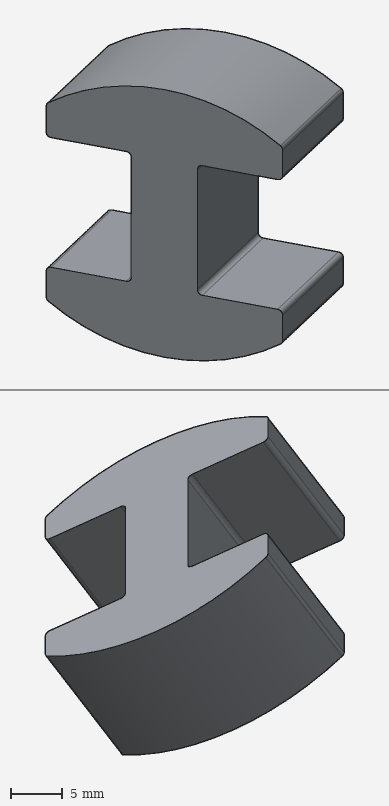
import cadquery as cq

width = 25.0
depth = 14.5
height = 28.5
web_width = 7.0
slot_height = 13.8
crown_radius = 22.25
edge_radius = 0.5


def crown_cylinder(direction):
    """Cylinder along Y whose crown touches the top (+1) or bottom (-1) of the part."""
    center_z = direction * (height / 2 - crown_radius)
    return (
        cq.Workplane("XZ", origin=(0, depth / 2, center_z))
        .circle(crown_radius)
        .extrude(depth)
    )


def side_slot(side):
    """Rectangular slot open to the right (+1) or left (-1) of the central web."""
    slot_depth = (width - web_width) / 2
    center_x = side * (web_width + slot_depth) / 2
    return cq.Workplane("XY").box(slot_depth, depth, slot_height).translate((center_x, 0, 0))


body = cq.Workplane("XY").box(width, depth, height)
for direction in (1, -1):
    body = body.intersect(crown_cylinder(direction))

for side in (1, -1):
    body = body.cut(side_slot(side))

result = body.edges("|Y").fillet(edge_radius)